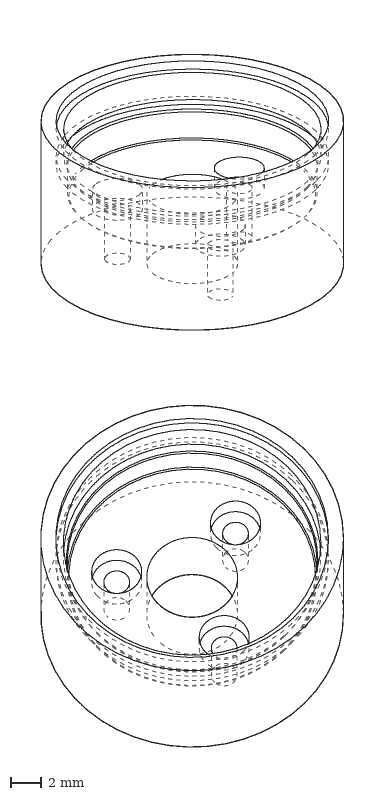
import cadquery as cq

outer_diameter = 20
height = 10.5

rim_diameter = 18
rim_depth = 0.6
upper_bore_diameter = 17
groove_diameter = 18
groove_top_depth = 2.6
groove_bottom_depth = 3.2
lower_bore_diameter = 16.5
lead_in_diameter = 16.62
lead_in_depth = 0.18
floor_depth = 5.4
lower_bore_chamfer = 0.1

center_hole_diameter = 6
screw_hole_diameter = 1.7
counterbore_diameter = 3.3
counterbore_depth = 1.45
screw_circle_radius = 5
screw_count = 3
first_screw_angle = 90


def bore_step(diameter, top_depth, bottom_depth):
    """Cylinder that cuts the cup between two depths below the rim."""
    return (
        cq.Workplane("XY")
        .workplane(offset=height - bottom_depth)
        .circle(diameter / 2)
        .extrude(bottom_depth - top_depth)
    )


body = cq.Workplane("XY").circle(outer_diameter / 2).extrude(height)
body = body.cut(bore_step(rim_diameter, 0, rim_depth))
body = body.cut(bore_step(upper_bore_diameter, rim_depth, groove_top_depth))
body = body.cut(bore_step(groove_diameter, groove_top_depth, groove_bottom_depth))

lower_bore = bore_step(lower_bore_diameter, groove_bottom_depth, floor_depth)
body = body.cut(lower_bore.faces("<Z").edges().chamfer(lower_bore_chamfer))

lead_in = (
    cq.Workplane("XY")
    .workplane(offset=height - groove_bottom_depth)
    .circle(lead_in_diameter / 2)
    .workplane(offset=-lead_in_depth)
    .circle(lower_bore_diameter / 2)
    .loft(ruled=True)
)
body = body.cut(lead_in)

body = body.cut(bore_step(center_hole_diameter, floor_depth, height))

result = (
    body.copyWorkplane(cq.Workplane("XY", origin=(0, 0, height - floor_depth)))
    .polarArray(screw_circle_radius, first_screw_angle, 360, screw_count)
    .cboreHole(screw_hole_diameter, counterbore_diameter, counterbore_depth)
)